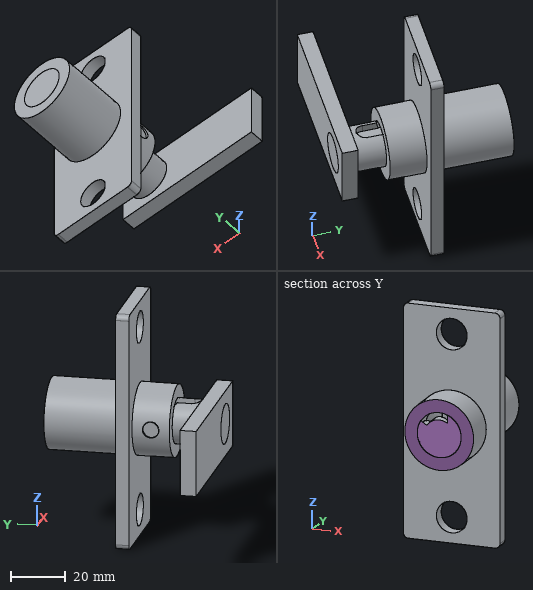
import cadquery as cq
import math


PLATE_WIDTH = 38.0
PLATE_HEIGHT = 90.0
PLATE_THICKNESS = 5.0
PLATE_CORNER_RADIUS = 2.0
PLATE_SETBACK = 13.95
SCREW_HOLE_DIAMETER = 12.0
SCREW_HOLE_OFFSET = 35.0

HOUSING_DIAMETER = 27.2
HOUSING_LENGTH = 47.0

ARM_LENGTH = 63.0
ARM_HEIGHT = 25.0
ARM_THICKNESS = 6.0
ARM_HEEL = 13.0

SHAFT_DIAMETER = 17.0
SPIGOT_DIAMETER = 15.0
SHAFT_EXPOSED = 12.0

PIN_DIAMETER = 6.0
PIN_SETBACK = 7.0
PIN_RECESS = 0.9
GROOVE_WIDTH = 6.3
GROOVE_DEPTH = 2.6
GROOVE_FRONT = 6.0
GROOVE_BEND_SETBACK = 1.35

HOUSING_RADIUS = HOUSING_DIAMETER / 2
SHAFT_RADIUS = SHAFT_DIAMETER / 2
GROOVE_FLOOR_RADIUS = SHAFT_RADIUS - GROOVE_DEPTH
CUTTER_OVERSHOOT = 0.9


def rod(diameter, y_front, y_back):
    """Cylinder along the clamp axis between two Y positions."""
    return (
        cq.Workplane("XZ", origin=(0, y_back, 0))
        .circle(diameter / 2)
        .extrude(y_back - y_front)
    )


def side_rod(diameter, radius_outer):
    """Cylinder at the pin's place, from the clamp axis out to a distance on the -X side."""
    return (
        cq.Workplane("YZ", origin=(-radius_outer, PIN_SETBACK, 0))
        .circle(diameter / 2)
        .extrude(radius_outer)
    )


def make_plate():
    screw_holes = [(0, SCREW_HOLE_OFFSET), (0, -SCREW_HOLE_OFFSET)]
    plate_back = PLATE_SETBACK + PLATE_THICKNESS
    plate = (
        cq.Workplane("XZ", origin=(0, plate_back, 0))
        .rect(PLATE_WIDTH, PLATE_HEIGHT)
        .extrude(PLATE_THICKNESS)
        .edges("|Y")
        .fillet(PLATE_CORNER_RADIUS)
    )
    drills = (
        cq.Workplane("XZ", origin=(0, plate_back, 0))
        .pushPoints(screw_holes)
        .circle(SCREW_HOLE_DIAMETER / 2)
        .extrude(PLATE_THICKNESS)
    )
    return plate.cut(drills).cut(rod(HOUSING_DIAMETER, PLATE_SETBACK, plate_back))


def make_housing():
    bore = rod(SHAFT_DIAMETER, 0, HOUSING_LENGTH)
    pin_hole = side_rod(PIN_DIAMETER, HOUSING_RADIUS + CUTTER_OVERSHOOT)
    return rod(HOUSING_DIAMETER, 0, HOUSING_LENGTH).cut(bore).cut(pin_hole)


def make_arm():
    arm_back = -SHAFT_EXPOSED
    arm = (
        cq.Workplane("XZ", origin=(ARM_HEEL - ARM_LENGTH / 2, arm_back, 0))
        .rect(ARM_LENGTH, ARM_HEIGHT)
        .extrude(ARM_THICKNESS)
    )
    return arm.cut(rod(SPIGOT_DIAMETER, arm_back - ARM_THICKNESS, arm_back))


def make_straight_run():
    """Round-ended slot along the top of the shaft."""
    run_length = GROOVE_FRONT + GROOVE_BEND_SETBACK
    run_centre = (GROOVE_BEND_SETBACK - GROOVE_FRONT) / 2
    return (
        cq.Workplane("XY", origin=(0, run_centre, 0))
        .slot2D(run_length + GROOVE_WIDTH, GROOVE_WIDTH, 90)
        .extrude(SHAFT_RADIUS + CUTTER_OVERSHOOT)
    )


def make_helical_run():
    """Quarter turn from the top of the shaft to the pin, ending round at -X where the pin sits."""
    advance = PIN_SETBACK - GROOVE_BEND_SETBACK
    arc_length = SHAFT_RADIUS * math.pi / 2
    band_length = GROOVE_WIDTH * math.hypot(advance, arc_length) / arc_length
    outer_radius = SHAFT_RADIUS + CUTTER_OVERSHOOT
    path = cq.Wire.makeHelix(4 * advance, advance, SHAFT_RADIUS, lefthand=True)
    band = (
        cq.Workplane("XZ")
        .center(outer_radius / 2, 0)
        .rect(outer_radius, band_length)
        .sweep(cq.Workplane(obj=path), isFrenet=True)
    )
    band = (
        band.rotate((0, 0, 0), (1, 0, 0), -90)
        .rotate((0, 0, 0), (0, 1, 0), -90)
        .translate((0, GROOVE_BEND_SETBACK, 0))
    )
    return band.union(side_rod(GROOVE_WIDTH, outer_radius))


def make_shaft():
    core = rod(2 * GROOVE_FLOOR_RADIUS, -SHAFT_EXPOSED, HOUSING_LENGTH)
    spigot = rod(SPIGOT_DIAMETER, -SHAFT_EXPOSED - ARM_THICKNESS, -SHAFT_EXPOSED)
    shaft = rod(SHAFT_DIAMETER, -SHAFT_EXPOSED, HOUSING_LENGTH).union(spigot)
    for run in (make_straight_run(), make_helical_run()):
        shaft = shaft.cut(run.cut(core))
    return shaft


def make_pin():
    """Pin whose inner end rests on the round floor of the groove."""
    pin = side_rod(PIN_DIAMETER, HOUSING_RADIUS - PIN_RECESS)
    return pin.cut(rod(2 * GROOVE_FLOOR_RADIUS, 0, HOUSING_LENGTH))


plate = make_plate()
housing = make_housing()
arm = make_arm()
shaft = make_shaft()
pin = make_pin()

result = cq.Compound.makeCompound([
    plate.val(),
    housing.val(),
    arm.val(),
    shaft.val(),
    pin.val(),
])